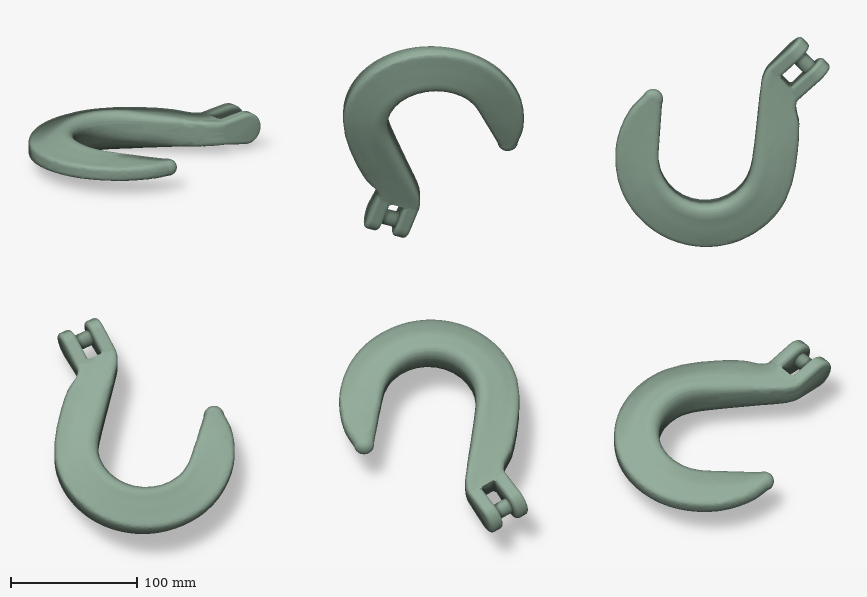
import cadquery as cq
import math


clevis_width = 35.0
clevis_gap = 12.3
ear_radius = 12.75
ear_edge_radius = 3.0
clevis_root_y = -22.5
clevis_root_half_thickness = 9.5
slot_floor_y = -21.3
slot_corner_radius = 1.8
ear_width = (clevis_width - clevis_gap) / 2
ear_centre_x = (clevis_gap + ear_width) / 2

pin_diameter = 12.5
pin_length = clevis_width

bowl_centre = (-0.5, -109.5)
bowl_inner_radius = 37.2
bowl_outer_centre = (-1.45, -110.26)
bowl_outer_radius = 71.5
bowl_section_count = 9
shank_angle = 50.0
shank_side_angle = shank_angle + 90
heel_angle = 180.0
bottom_angle = 270.0
point_side_angle = shank_side_angle + 180

bowl_middle_half_thickness = 14.45
heel_taper = 0.11
point_taper = 0.16
shank_thinning = 0.012
shank_outer_half = 10.5
point_outer_half = 5.3
inner_round_share = 0.45
outer_round = 3.8

shank_shapes = [
    ((14.2, -32.2), (-20.6, -29.3), 10.1, 9.8, 4.0, 3.5),
    ((4.9, -44.5), (-28.6, -34.6), 11.2, 10.3, 5.0, 4.0),
    ((-11.3, -63.9), (-37.4, -42.0), 13.2, 11.0, 6.0, 4.5),
]

point_section_count = 4
tip_radius = 8.1
tip_centre = (61.95, -106.7)
tip_section_angle = -20.0
tip_half_thickness = 6.2
tip_edge_radius = 6.0

flat_point_shares = (0.15, 0.5, 0.85)


def polar(origin, distance, angle):
    a = math.radians(angle)
    return (origin[0] + distance * math.cos(a), origin[1] + distance * math.sin(a))


def distance_to_outer_circle(start, angle):
    """Distance from a point inside the bowl's outer circle to that circle, along a direction."""
    a = math.radians(angle)
    dx = start[0] - bowl_outer_centre[0]
    dy = start[1] - bowl_outer_centre[1]
    along = dx * math.cos(a) + dy * math.sin(a)
    return -along + math.sqrt(along**2 - dx**2 - dy**2 + bowl_outer_radius**2)


def corner_round(corner, before, after, radius):
    """Start, middle and end of the arc that rounds a corner of an outline."""
    to_before = (cq.Vector(*before) - cq.Vector(*corner)).normalized()
    to_after = (cq.Vector(*after) - cq.Vector(*corner)).normalized()
    half_angle = to_before.getAngle(to_after) / 2
    tangent_length = radius / math.tan(half_angle)
    to_middle = (to_before + to_after).normalized() * (radius / math.sin(half_angle) - radius)
    vertex = cq.Vector(*corner)
    return vertex + to_before * tangent_length, vertex + to_middle, vertex + to_after * tangent_length


def section(inner, outer, inner_half, outer_half, inner_round, outer_round):
    """Upper half of an upright trapezoid with round corners, from inner to outer edge point."""
    width = math.hypot(outer[0] - inner[0], outer[1] - inner[1])
    across = cq.Vector(outer[0] - inner[0], outer[1] - inner[1], 0)
    upright = cq.Vector(0, 0, 1)
    plane = cq.Plane(origin=(*inner, 0), xDir=across, normal=across.cross(upright))
    inner_top = (0, inner_half)
    outer_top = (width, outer_half)
    inner_arc = corner_round(inner_top, (0, 0), outer_top, inner_round)
    outer_arc = corner_round(outer_top, inner_top, (width, 0), outer_round)
    top_run = outer_arc[0] - inner_arc[-1]
    top_points = [inner_arc[-1] + top_run * part for part in flat_point_shares]
    inner_wall = [cq.Vector(0, 0), inner_arc[0] / 2]
    outer_wall = [cq.Vector(width, outer_arc[-1].y / 2), cq.Vector(width, 0)]
    outline = [*inner_wall, *inner_arc, *top_points, *outer_arc, *outer_wall]
    outline = [plane.toWorldCoords(point) for point in outline]
    crown = cq.Edge.makeSpline(outline)
    base = cq.Edge.makeLine(outline[-1], outline[0])
    return cq.Wire.assembleEdges([crown, base])


def shank_sections():
    """From the clevis root, which lies along X, to the straight shank."""
    root_half_width = clevis_width / 2
    root_inner = (root_half_width, clevis_root_y)
    root_outer = (-root_half_width, clevis_root_y)
    root_half = clevis_root_half_thickness
    root = section(root_inner, root_outer, root_half, root_half, ear_edge_radius, ear_edge_radius)
    return [root] + [section(*shape) for shape in shank_shapes]


def bowl_inner_half(angle):
    """Inner half thickness: greatest at the heel, falling with X and towards the shank."""
    x = bowl_inner_radius * math.cos(math.radians(angle))
    taper = heel_taper if x < 0 else point_taper
    return bowl_middle_half_thickness - taper * x - shank_thinning * max(heel_angle - angle, 0)


def bowl_sections():
    """Radial sections from the shank round to the point side."""
    step = (point_side_angle - shank_side_angle) / (bowl_section_count - 1)
    sections = []
    for i in range(bowl_section_count):
        angle = shank_side_angle + i * step
        inner = polar(bowl_centre, bowl_inner_radius, angle)
        outer = polar(inner, distance_to_outer_circle(inner, angle), angle)
        inner_half = bowl_inner_half(angle)
        thinning = min((angle - shank_side_angle) / (bottom_angle - shank_side_angle), 1)
        outer_half = shank_outer_half + thinning * (point_outer_half - shank_outer_half)
        inner_round = inner_round_share * inner_half
        sections.append(section(inner, outer, inner_half, outer_half, inner_round, outer_round))
    return sections


def point_sections():
    """From the bowl to the tip: a straight inner edge, and an outer edge on the outer circle."""
    inner_start = polar(bowl_centre, bowl_inner_radius, point_side_angle)
    inner_end = polar(tip_centre, -tip_radius, tip_section_angle)
    outer_end = polar(tip_centre, tip_radius, tip_section_angle)
    start_half = bowl_inner_half(point_side_angle)
    start_sizes = (start_half, point_outer_half, inner_round_share * start_half, outer_round)
    end_sizes = (tip_half_thickness, tip_half_thickness, tip_edge_radius, tip_edge_radius)
    outer_start_angle = point_side_angle - 360
    outer_end_angle = math.degrees(
        math.atan2(outer_end[1] - bowl_outer_centre[1], outer_end[0] - bowl_outer_centre[0])
    )
    sections = []
    for i in range(1, point_section_count):
        part = i / point_section_count
        inner = [a + part * (b - a) for a, b in zip(inner_start, inner_end)]
        outer_angle = outer_start_angle + part * (outer_end_angle - outer_start_angle)
        outer = polar(bowl_outer_centre, bowl_outer_radius, outer_angle)
        sizes = [a + part * (b - a) for a, b in zip(start_sizes, end_sizes)]
        sections.append(section(inner, outer, *sizes))
    sections.append(section(inner_end, outer_end, *end_sizes))
    return sections


def rounded_tip():
    """Half turn of the last section about the upright axis through its middle."""
    plane = cq.Plane(
        origin=(*tip_centre, 0),
        xDir=polar((0, 0), 1, tip_section_angle) + (0,),
        normal=polar((0, 0), 1, tip_section_angle - 90) + (0,),
    )
    flat = tip_radius - tip_edge_radius
    wall = tip_half_thickness - tip_edge_radius
    return (
        cq.Workplane(plane)
        .moveTo(0, -tip_half_thickness)
        .lineTo(flat, -tip_half_thickness)
        .radiusArc((tip_radius, -wall), -tip_edge_radius)
        .lineTo(tip_radius, wall)
        .radiusArc((flat, tip_half_thickness), -tip_edge_radius)
        .lineTo(0, tip_half_thickness)
        .close()
        .revolve(180, (0, 0), (0, 1))
    )


def clevis_ear(centre_x):
    """Round-ended ear whose flanks run from the eye, tangent to it, to the clevis root."""
    root_distance = math.hypot(clevis_root_y, clevis_root_half_thickness)
    root_angle = math.atan2(clevis_root_half_thickness, clevis_root_y)
    tangent_angle = root_angle - math.acos(ear_radius / root_distance)
    tangent_y = ear_radius * math.cos(tangent_angle)
    tangent_z = ear_radius * math.sin(tangent_angle)
    ear = (
        cq.Workplane("YZ", origin=(centre_x - ear_width / 2, 0, 0))
        .moveTo(clevis_root_y, -clevis_root_half_thickness)
        .lineTo(tangent_y, -tangent_z)
        .threePointArc((ear_radius, 0), (tangent_y, tangent_z))
        .lineTo(clevis_root_y, clevis_root_half_thickness)
        .close()
        .extrude(ear_width)
    )
    return ear.faces("<X or >X").edges("not <Y").fillet(ear_edge_radius)


def slot_floor():
    """Web that closes the clevis slot, with round corners up to the ears."""
    half_gap = clevis_gap / 2
    r = slot_corner_radius
    return (
        cq.Workplane("XY", origin=(0, 0, -clevis_root_half_thickness))
        .moveTo(-half_gap - ear_edge_radius, clevis_root_y)
        .lineTo(half_gap + ear_edge_radius, clevis_root_y)
        .lineTo(half_gap + ear_edge_radius, slot_floor_y)
        .lineTo(half_gap, slot_floor_y + r)
        .radiusArc((half_gap - r, slot_floor_y), r)
        .lineTo(r - half_gap, slot_floor_y)
        .radiusArc((-half_gap, slot_floor_y + r), r)
        .lineTo(-half_gap - ear_edge_radius, slot_floor_y)
        .close()
        .extrude(2 * clevis_root_half_thickness)
    )


def load_pin():
    return cq.Workplane("YZ", origin=(-pin_length / 2, 0, 0)).circle(pin_diameter / 2).extrude(pin_length)


def hook_body():
    """Loft the upper half, mirror it, then add the tip, the slot floor and the bored ears."""
    curved_sections = shank_sections() + bowl_sections() + point_sections()
    upper_half = cq.Workplane(cq.Solid.makeLoft(curved_sections))
    hook = upper_half.union(upper_half.mirror("XY")).union(rounded_tip()).union(slot_floor())
    for side in (-1, 1):
        hook = hook.union(clevis_ear(side * ear_centre_x))
    return hook.cut(load_pin())


hook = hook_body()
pin = load_pin()
result = cq.Compound.makeCompound([hook.solids().val(), pin.val()])